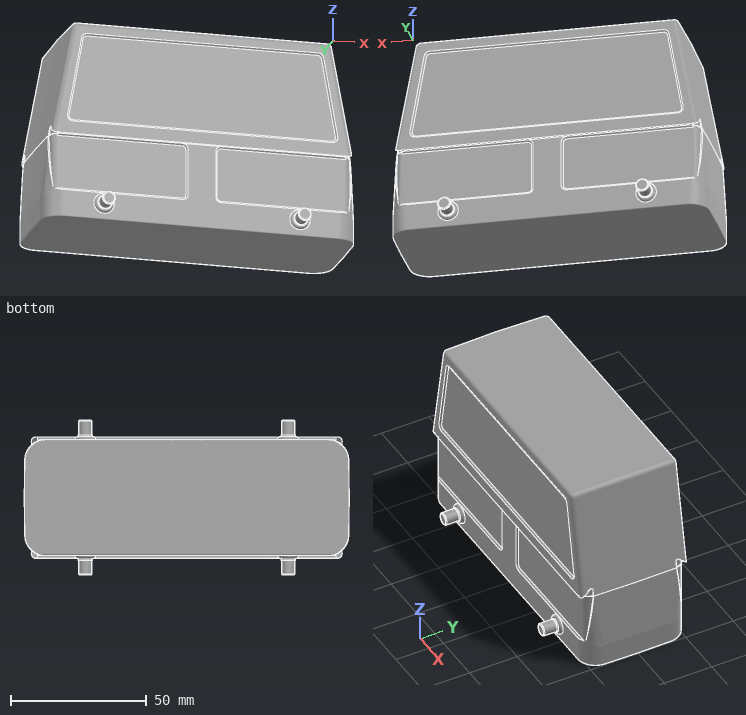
import cadquery as cq
import math

length = 120.0
height = 76.0
depth_over_pins = 57.2

draft_angle = 0.8
draft = math.tan(math.radians(draft_angle))

body_half_depth = 21.4
base_height = 9.0
base_corner_radius = 7.5
bottom_edge_radius = 0.5

ledge_z = 32.2
ledge_half_length = 58.0
ledge_corner_radius = 3.8
shell_half_depth = 22.5
shell_top_half_length = 49.7
shell_edge_radius = 2.0
shell_slope = (ledge_half_length - shell_top_half_length) / (height - ledge_z)

recess_depth = 0.7
recess_wall_angle = 45
recess_corner_radius = 2.2

panel_top_z = 71.3
panel_bottom_z = 37.0
panel_top_half_length = 46.0
panel_bottom_half_length = 52.1

rib_half_width = 5.3
pocket_bottom_z = 10.5
pocket_floor_z = pocket_bottom_z + recess_depth / 2

core_center_x = 55.1
core_depth = 3.1
core_center_y = body_half_depth - recess_depth - core_depth
core_foot_half_length = 57.6
core_ledge_half_length = 57.5

opening_foot_y = 20.2

notch_height = 4.1
notch_half_length = 57.1

pin_x = 37.5
pin_z = 6.4
pin_diameter = 4.9
pin_tip_chamfer = 0.4
boss_diameter = 7.7
boss_height = 1.2
boss_edge_radius = 1.1
collar_diameter = 5.3
collar_height = 1.8

clearance = 2.4


def body_section(half_length, corner_radius):
    """Plan outline of the lower body: ends drafted from the middle, corners rounded."""
    corner_x = half_length - draft * body_half_depth
    outline = [
        (half_length, 0),
        (corner_x, body_half_depth),
        (-corner_x, body_half_depth),
        (-half_length, 0),
        (-corner_x, -body_half_depth),
        (corner_x, -body_half_depth),
        (half_length, 0),
    ]
    return cq.Sketch().polygon(outline).vertices(">Y or <Y").fillet(corner_radius)


def lower_body():
    base_section = body_section(length / 2, base_corner_radius)
    ledge_section = body_section(ledge_half_length, ledge_corner_radius)
    base = cq.Workplane("XY").placeSketch(base_section).extrude(base_height)
    base = base.faces("<Z").edges().fillet(bottom_edge_radius)
    rise = cq.Location(cq.Vector(0, 0, ledge_z - base_height))
    flank = (
        cq.Workplane("XY", origin=(0, 0, base_height))
        .placeSketch(base_section, ledge_section.moved(rise))
        .loft()
    )
    return base.union(flank)


def upper_shell():
    foot_z = ledge_z - clearance
    foot_half_length = ledge_half_length + shell_slope * clearance
    profile = [
        (-foot_half_length, foot_z),
        (foot_half_length, foot_z),
        (shell_top_half_length, height),
        (-shell_top_half_length, height),
    ]
    half = cq.Workplane("XZ").polyline(profile).close().extrude(shell_half_depth, taper=draft_angle)
    face_edges = half.faces("<Y").edges("not <Z")
    roof_end_edges = half.faces("<X or >X").edges(">Z")
    half = face_edges.add(roof_end_edges).fillet(shell_edge_radius)
    below_ledge = cq.Workplane("XY").box(2 * length, length, ledge_z, centered=(True, True, False))
    return half.union(half.mirror("XZ")).cut(below_ledge)


def recess(outline, face_half_depth, rounded):
    """Recess sunk into the -Y face at face_half_depth, its walls closing in at 45 degrees."""
    sketch = cq.Sketch().polygon(outline + outline[:1]).vertices(rounded).fillet(recess_corner_radius)
    plane = cq.Workplane("XZ", origin=(0, -face_half_depth, 0))
    return plane.placeSketch(sketch).extrude(-recess_depth, taper=recess_wall_angle)


def shell_panel():
    outline = [
        (-panel_bottom_half_length, panel_bottom_z),
        (panel_bottom_half_length, panel_bottom_z),
        (panel_top_half_length, panel_top_z),
        (-panel_top_half_length, panel_top_z),
    ]
    return recess(outline, shell_half_depth, ">Y or <Y")


def corner_opening():
    """Pocket's run-out at the +X, -Y corner, widening from its foot to the ledge."""
    side_outline = [
        (-opening_foot_y, pocket_floor_z),
        (-core_center_y, ledge_z),
        (-shell_half_depth, ledge_z),
        (-shell_half_depth, pocket_floor_z),
    ]
    block = (
        cq.Workplane("YZ", origin=(core_center_x, 0, 0))
        .polyline(side_outline)
        .close()
        .extrude(length)
    )
    return block.cut(core(pocket_floor_z, ledge_z, core_foot_half_length, core_ledge_half_length))


def core(bottom_z, top_z, bottom_half_length, top_half_length):
    """Elliptical core at the +X, -Y corner, reaching from one half length to another."""
    return (
        cq.Workplane("XY", origin=(core_center_x, -core_center_y, bottom_z))
        .ellipse(bottom_half_length - core_center_x, core_depth)
        .workplane(offset=top_z - bottom_z)
        .ellipse(top_half_length - core_center_x, core_depth)
        .loft()
    )


def body_pocket():
    """Pocket beside the rib on the +X, -Y quarter, running up to the ledge and out at the corner."""
    outer_x = length / 2 + clearance
    outline = [
        (rib_half_width, pocket_bottom_z),
        (outer_x, pocket_bottom_z),
        (outer_x, ledge_z),
        (rib_half_width, ledge_z),
    ]
    pocket = recess(outline, body_half_depth, "<X")
    return pocket.union(corner_opening())


def shell_notch():
    """Notch under a plane that falls from the core to the outer face of the shell."""
    top_z = ledge_z + notch_height
    wedge = (
        cq.Workplane("YZ", origin=(core_center_x, 0, 0))
        .polyline([(-core_center_y, ledge_z), (-core_center_y, top_z), (-shell_half_depth, ledge_z)])
        .close()
        .extrude(length)
    )
    return wedge.cut(core(ledge_z, top_z, notch_half_length, notch_half_length))


def locking_pin():
    """Pin on the -Y side at +X, with its collar and rounded boss."""
    wall = cq.Workplane("XZ", origin=(pin_x, -body_half_depth, pin_z))
    boss = wall.circle(boss_diameter / 2).extrude(boss_height)
    boss = boss.faces("<Y").edges().fillet(boss_edge_radius)
    collar = wall.circle(collar_diameter / 2).extrude(collar_height)
    pin = wall.circle(pin_diameter / 2).extrude(depth_over_pins / 2 - body_half_depth)
    pin = pin.faces("<Y").chamfer(pin_tip_chamfer)
    return boss.union(collar).union(pin)


def four_quarters(feature):
    """The feature and its mirror copies at both ends of both long sides."""
    both_ends = [feature, feature.mirror("YZ")]
    return both_ends + [one_end.mirror("XZ") for one_end in both_ends]


shell = upper_shell()
panel = shell_panel()
shell = shell.cut(panel).cut(panel.mirror("XZ"))
for notch in four_quarters(shell_notch()):
    shell = shell.cut(notch)

body = lower_body()
for pocket in four_quarters(body_pocket()):
    body = body.cut(pocket)
for pin in four_quarters(locking_pin()):
    body = body.union(pin)

result = body.union(shell)